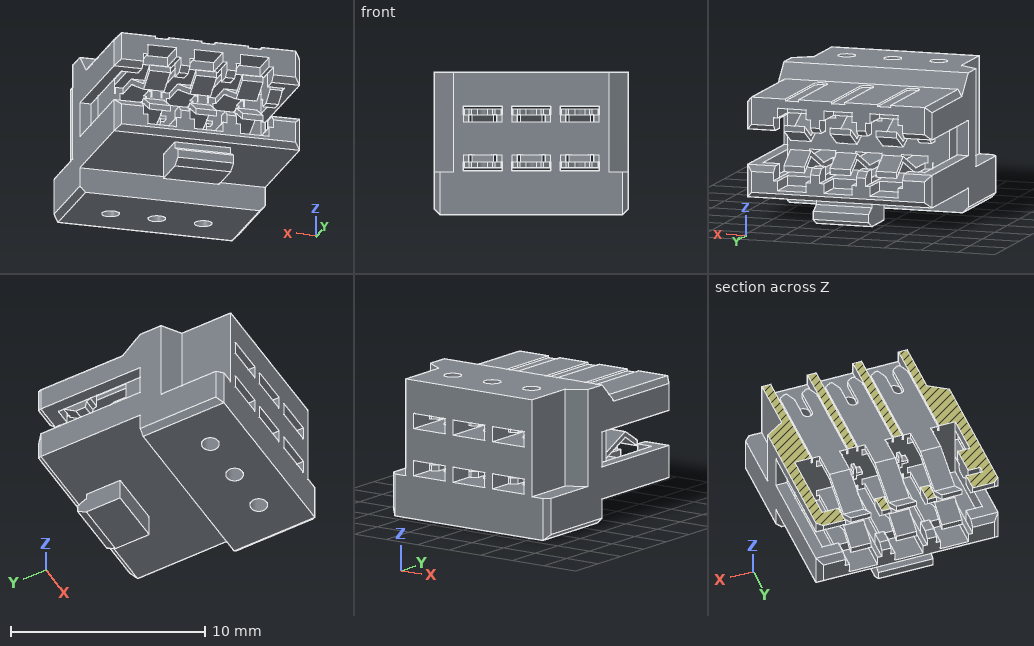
import cadquery as cq


WIDTH = 10.0
LENGTH = 11.0
HEIGHT = 7.35
CHAMFER = 0.31
BODY_LENGTH = 4.8
LOWER_PLATE_BOTTOM = 1.31
UPPER_PLATE_TOP = 6.6
MID_Z = 3.94
PLATE_GAP = 1.85
LOWER_PLATE_TOP = MID_Z - PLATE_GAP / 2
UPPER_PLATE_BOTTOM = MID_Z + PLATE_GAP / 2

NOTCH_DEPTH = 1.0
NOTCH_FLOOR = 2.22
NOTCH_LENGTH = 2.9
NOTCH_RUNOUT = 3.55

PITCH = 2.5
CONTACT_X = [-PITCH, 0, PITCH]
SLOT_WIDTH = 2.0
WALL_X = [-PITCH / 2, PITCH / 2]
SLOT_FLOOR = 2.29
SLOT_TOP = 3.09
SHOULDER_Z = 2.73
SHOULDER_START = 3.3
NECK_WIDTH = 1.42
HOLE_DIAMETER = 0.9
HOLE_Y = 2.07

BLOCK_END = 6.0
POCKET_WIDTH = 8.79
POCKET_END = 10.0
POCKET_FLOOR = 1.97
TIP_RECESS_WIDTH = 1.54
TIP_RECESS_START = 9.39
TIP_RECESS_FLOOR = 1.78

CONTACT_WIDTH = 1.9
TINE_ROOT = 1.54
TOOTH_TIP = 0.99
TOOTH_STEEP_WIDTH = 0.24
TOOTH_TIP_WIDTH = 0.13
TOOTH_SHALLOW_END = 1.21
CONTACT_BOTTOM = 2.42
SLIT_WIDTH = 0.52
SLIT_END = 2.97
SPRING_WIDTH = 1.11
SPRING_THICKNESS = SHOULDER_Z - CONTACT_BOTTOM
SPRING_START = 7.46
SPRING_PEAK_Y = 9.55
SPRING_PEAK_Z = 3.7
SPRING_TIP_Y = 10.62
SPRING_TIP_Z = 3.04

GROOVE_WIDTH = 0.72
GROOVE_START = 6.0
GROOVE_DEPTH = 0.1

LATCH_WIDTH = 3.0
LATCH_START = 8.0
LATCH_HEEL = 10.0
LATCH_TIP = 10.52
LATCH_TIP_BOTTOM = 0.3
LATCH_TIP_TOP = 0.73
LATCH_NECK_Z = 0.99

RIB_WIDTH = 0.66
RIB_START = 8.11
RIB_STEP_START = 8.33
RIB_FLAT_START = 8.4
RIB_FLAT_END = 8.95
RIB_END = 9.68
RIB_BOTTOM = 4.35
RIB_SHOULDER_Z = 4.73

PIN_SIZE = 0.79
PIN_ARM = 0.16
PIN_LENGTH = 0.41
PIN_ROUND = 0.13


def box(x_center, width, y_start, y_end, z_bottom, z_top):
    """Box centred on x_center along X, between the given Y and Z limits."""
    return (
        cq.Workplane("XY")
        .box(width, y_end - y_start, z_top - z_bottom, centered=(True, False, False))
        .translate((x_center, y_start, z_bottom))
    )


def extrude_side_profile(points, width, x_center=0):
    """Closed (Y, Z) profile extruded along X, centred on x_center."""
    solid = cq.Workplane("YZ").polyline(points).close().extrude(width / 2, both=True)
    return solid.translate((x_center, 0, 0))


def mirror_row(shape):
    """Copy of a lower row feature for the upper row."""
    return shape.mirror("XY", (0, 0, MID_Z))


def make_body():
    body = box(0, WIDTH, 0, BODY_LENGTH, 0, HEIGHT)
    body = body.edges("|Y and <Z").chamfer(CHAMFER)
    half = WIDTH / 2
    for side in (-1, 1):
        corner = [(half, 0), (half, CHAMFER), (half - CHAMFER, 0)]
        notch = [
            (half, 0),
            (half, NOTCH_RUNOUT),
            (half - NOTCH_DEPTH, NOTCH_LENGTH),
            (half - NOTCH_DEPTH, 0),
        ]
        for outline, bottom, top in ((corner, 0, NOTCH_FLOOR), (notch, NOTCH_FLOOR, HEIGHT)):
            points = [(side * x, y) for x, y in outline]
            base = cq.Workplane("XY").workplane(offset=bottom)
            body = body.cut(base.polyline(points).close().extrude(top - bottom))
    return body


def make_lower_plate():
    plate = box(0, WIDTH, BODY_LENGTH, LENGTH, LOWER_PLATE_BOTTOM, LOWER_PLATE_TOP)
    return plate.faces(">Y").edges().chamfer(CHAMFER)


def make_upper_plate():
    """Upper plate with the slope that rises to the top of the body."""
    plate = box(0, WIDTH, BODY_LENGTH, LENGTH, UPPER_PLATE_BOTTOM, UPPER_PLATE_TOP)
    plate = plate.edges("(|Z and >Y) or (|X and >Y and <Z) or (|Y and >Z)").chamfer(CHAMFER)
    drop = HEIGHT - UPPER_PLATE_BOTTOM
    slope = [
        (BODY_LENGTH, HEIGHT),
        (BODY_LENGTH + drop, UPPER_PLATE_BOTTOM),
        (BODY_LENGTH, UPPER_PLATE_BOTTOM),
    ]
    return plate.union(extrude_side_profile(slope, WIDTH))


def groove(x):
    radius = GROOVE_WIDTH / 2
    straight_start = GROOVE_START + radius
    return (
        cq.Workplane("XY")
        .workplane(offset=UPPER_PLATE_TOP - GROOVE_DEPTH)
        .moveTo(x - radius, LENGTH)
        .lineTo(x - radius, straight_start)
        .threePointArc((x, GROOVE_START), (x + radius, straight_start))
        .lineTo(x + radius, LENGTH)
        .close()
        .extrude(GROOVE_DEPTH)
    )


def contact_channel(x):
    """Wire entry, shouldered passage through the block and open end of one lower contact."""
    entry = box(x, SLOT_WIDTH, 0, SHOULDER_START, SLOT_FLOOR, SLOT_TOP)
    passage = box(x, SLOT_WIDTH, SHOULDER_START, LENGTH, SLOT_FLOOR, SHOULDER_Z)
    neck = box(x, NECK_WIDTH, SHOULDER_START, BLOCK_END, SHOULDER_Z, SLOT_TOP)
    plug_end = box(x, SLOT_WIDTH, BLOCK_END, LENGTH, SLOT_FLOOR, SLOT_TOP)
    tip_recess = box(x, TIP_RECESS_WIDTH, TIP_RECESS_START, LENGTH, TIP_RECESS_FLOOR, SLOT_TOP)
    return entry.union(passage).union(neck).union(plug_end).union(tip_recess)


def pocket():
    """Pocket in the lower plate, leaving a rail under each contact."""
    recess = box(0, POCKET_WIDTH, BLOCK_END, POCKET_END, POCKET_FLOOR, LOWER_PLATE_TOP)
    for x in CONTACT_X:
        recess = recess.cut(box(x, SLOT_WIDTH, BLOCK_END, POCKET_END, POCKET_FLOOR, SLOT_FLOOR))
    return recess


def contact(x):
    """Contact plate with a two-toothed fork in front and a bent spring behind."""
    left = x - CONTACT_WIDTH / 2
    right = x + CONTACT_WIDTH / 2
    slit_left = x - SLIT_WIDTH / 2
    slit_right = x + SLIT_WIDTH / 2
    slit_straight_end = SLIT_END - SLIT_WIDTH / 2
    steep = TOOTH_STEEP_WIDTH
    tip_end = TOOTH_STEEP_WIDTH + TOOTH_TIP_WIDTH
    plate = (
        cq.Workplane("XY")
        .workplane(offset=CONTACT_BOTTOM)
        .moveTo(left, BLOCK_END)
        .lineTo(left, TINE_ROOT)
        .lineTo(left + steep, TOOTH_TIP)
        .lineTo(left + tip_end, TOOTH_TIP)
        .lineTo(slit_left, TOOTH_SHALLOW_END)
        .lineTo(slit_left, slit_straight_end)
        .threePointArc((x, SLIT_END), (slit_right, slit_straight_end))
        .lineTo(slit_right, TINE_ROOT)
        .lineTo(slit_right + steep, TOOTH_TIP)
        .lineTo(slit_right + tip_end, TOOTH_TIP)
        .lineTo(right, TOOTH_SHALLOW_END)
        .lineTo(right, BLOCK_END)
        .close()
        .extrude(SHOULDER_Z - CONTACT_BOTTOM)
    )
    upper_line = [
        (BLOCK_END, SHOULDER_Z),
        (SPRING_START, SHOULDER_Z),
        (SPRING_PEAK_Y, SPRING_PEAK_Z),
        (SPRING_TIP_Y, SPRING_TIP_Z),
    ]
    lower_line = [(y, z - SPRING_THICKNESS) for y, z in reversed(upper_line)]
    spring = extrude_side_profile(upper_line + lower_line, SPRING_WIDTH, x)
    return plate.union(spring)


def latch():
    profile = [
        (LATCH_START, LOWER_PLATE_BOTTOM),
        (LATCH_START, 0),
        (LATCH_HEEL, 0),
        (LATCH_TIP, LATCH_TIP_BOTTOM),
        (LATCH_TIP, LATCH_TIP_TOP),
        (LATCH_HEEL, LATCH_NECK_Z),
        (LATCH_HEEL, LOWER_PLATE_BOTTOM),
    ]
    return extrude_side_profile(profile, LATCH_WIDTH)


def keying_rib():
    ceiling = 2 * MID_Z - POCKET_FLOOR
    profile = [
        (RIB_START, ceiling),
        (RIB_START, UPPER_PLATE_BOTTOM),
        (RIB_STEP_START, RIB_SHOULDER_Z),
        (RIB_FLAT_START, RIB_BOTTOM),
        (RIB_FLAT_END, RIB_BOTTOM),
        (RIB_END, UPPER_PLATE_BOTTOM),
        (RIB_END, ceiling),
    ]
    return extrude_side_profile(profile, RIB_WIDTH, (RIB_WIDTH - POCKET_WIDTH) / 2)


def cross_pin(x):
    end = BLOCK_END + PIN_LENGTH
    half = PIN_SIZE / 2
    upright = box(x, PIN_ARM, BLOCK_END, end, MID_Z - half, MID_Z + half)
    upright = upright.edges("|X and >Y").fillet(PIN_ROUND)
    crossbar = box(x, PIN_SIZE, BLOCK_END, end, MID_Z - PIN_ARM / 2, MID_Z + PIN_ARM / 2)
    return upright.union(crossbar)


block = box(0, POCKET_WIDTH, BODY_LENGTH, BLOCK_END, LOWER_PLATE_TOP, UPPER_PLATE_BOTTOM)
housing = make_body().union(make_lower_plate()).union(make_upper_plate()).union(block)

housing = housing.cut(pocket()).cut(mirror_row(pocket()))
for x in CONTACT_X:
    channel = contact_channel(x)
    wire_hole = cq.Workplane("XY").center(x, HOLE_Y).circle(HOLE_DIAMETER / 2).extrude(HEIGHT)
    housing = housing.cut(channel).cut(mirror_row(channel)).cut(wire_hole).cut(groove(x))

housing = housing.union(latch()).union(keying_rib())
for x in WALL_X:
    housing = housing.union(cross_pin(x))

for x in CONTACT_X:
    housing = housing.union(contact(x)).union(mirror_row(contact(x)))

result = housing